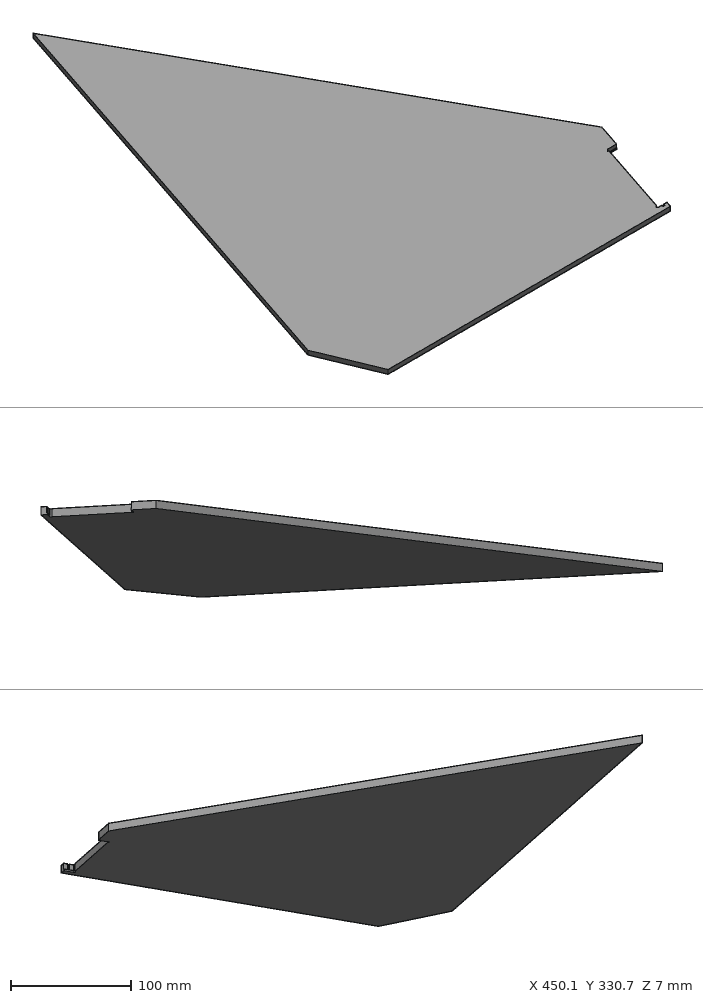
import cadquery as cq

length = 450.08
width = 330.68
thickness = 7.0
back_edge_length = 98.8
corner_cut_x = 54.5
corner_cut_y = 43.0

lug_width = 5.56
notch_length = 71.54
notch_depth = 9.05
relief_radius = 0.9

step_width = 0.5
step_depth = 5.4

slot_length = 2.05
slot_width = 1.75
slot_from_back = 4.2

notch_right = length - lug_width
notch_left = notch_right - notch_length
notch_floor = width - notch_depth
step_floor = thickness - step_depth


def make_block(x_min, x_max, y_min, y_max, z_min):
    """Box from z_min up to the top face of the plate."""
    size = (x_max - x_min, y_max - y_min, thickness - z_min)
    return cq.Workplane("XY").box(*size, centered=False).translate((x_min, y_min, z_min))


def make_plate():
    outline = [
        (0, 0),
        (length - corner_cut_x, 0),
        (length, corner_cut_y),
        (length, width),
        (length - back_edge_length, width),
    ]
    return cq.Workplane("XY").polyline(outline).close().extrude(thickness)


def make_notch():
    """Through notch with a round relief in each inner corner."""
    pocket = make_block(notch_left, notch_right, notch_floor, width, 0)
    relief_centers = [
        (notch_left + relief_radius, notch_floor),
        (notch_right - relief_radius, notch_floor),
    ]
    reliefs = cq.Workplane("XY").pushPoints(relief_centers).circle(relief_radius).extrude(thickness)
    return pocket.union(reliefs)


def make_wall_steps():
    """Wider upper part of the notch, setting back the top of both walls."""
    return make_block(notch_left - step_width, notch_right + step_width, notch_floor, width, step_floor)


def make_lug_slot():
    slot_center_y = width - slot_from_back
    slot_y_min = slot_center_y - slot_width / 2
    slot_y_max = slot_center_y + slot_width / 2
    return make_block(notch_right, notch_right + slot_length, slot_y_min, slot_y_max, step_floor)


result = make_plate().cut(make_notch()).cut(make_wall_steps()).cut(make_lug_slot())